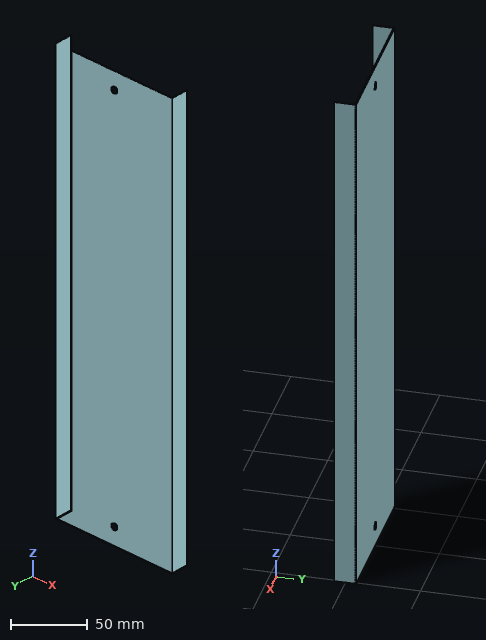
import cadquery as cq

width = 103.5
depth = 14.8
height = 360.0
sheet_thickness = 0.8

hole_diameter = 5.0
hole_end_distance = 14.8


def make_channel():
    """Flat web on the +Y side with two plain flanges pointing to -Y."""
    block = cq.Workplane("XY").box(width, depth, height)
    cavity = (
        cq.Workplane("XY")
        .box(width - 2 * sheet_thickness, depth, height)
        .translate((0, -sheet_thickness, 0))
    )
    return block.cut(cavity)


def drill_holes(channel):
    """Drill one hole through the web near each end."""
    hole_height = height / 2 - hole_end_distance
    drills = (
        cq.Workplane("XZ")
        .pushPoints([(0, -hole_height), (0, hole_height)])
        .circle(hole_diameter / 2)
        .extrude(depth, both=True)
    )
    return channel.cut(drills)


result = drill_holes(make_channel())